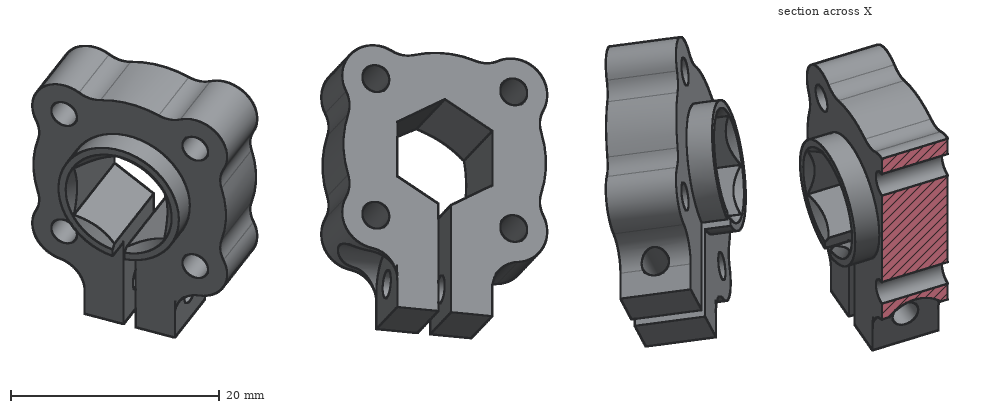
import cadquery as cq
import math

plate_thickness = 6.985
boss_length = 2.54
boss_radius = 6.35

plate_width = 20.57
bolt_circle_radius = 9.779
bolt_offset = bolt_circle_radius / math.sqrt(2)
lobe_angle = 45
lower_left_lobe_angle = 180 + lobe_angle
lobe_radius = plate_width / 2 - bolt_offset
side_radius = 10.16
blend_radius = 2.95
hole_diameter = 2.705

hex_across_flats = 9.525
hex_across_corners = hex_across_flats / math.cos(math.radians(30))
lead_in_radius = 5.59
lead_in_half_angle = 45.0

clamp_half_width = hex_across_flats / 2
clamp_bottom = -16.0
slot_width = 1.27
screw_z = -12.57
head_seat_edge_wall = 0.01
head_seat_radius = plate_thickness / 2 - head_seat_edge_wall


def polar(radius, degrees):
    angle = math.radians(degrees)
    return radius * math.cos(angle), radius * math.sin(angle)


def toward(start, end, distance):
    """Point at a given distance from start on the line to end."""
    length = math.dist(start, end)
    return tuple(a + (b - a) * distance / length for a, b in zip(start, end))


def midpoint(start, end):
    return tuple((a + b) / 2 for a, b in zip(start, end))


def mirrored(point):
    return -point[0], point[1]


def plate_outline():
    """Closed outline: four lobes, three bulged sides and a clamp tail, all joined by tangent arcs."""
    side_reach = side_radius + blend_radius
    lobe_reach = lobe_radius + blend_radius
    lobe_tip_reach = bolt_circle_radius + lobe_radius
    blend_angle = math.degrees(math.acos(
        (side_reach**2 + bolt_circle_radius**2 - lobe_reach**2) / (2 * side_reach * bolt_circle_radius)
    ))

    tail_x = clamp_half_width + blend_radius
    tail_drop = math.sqrt(lobe_reach**2 - (tail_x - bolt_offset)**2)
    tail_center = (tail_x, -bolt_offset - tail_drop)
    tail_lobe_end = toward((bolt_offset, -bolt_offset), tail_center, lobe_radius)
    tail_end = (clamp_half_width, tail_center[1])
    tail_middle = toward(tail_center, midpoint(tail_lobe_end, tail_end), blend_radius)

    outline = (
        cq.Workplane("XZ")
        .moveTo(clamp_half_width, clamp_bottom)
        .lineTo(*tail_end)
        .threePointArc(tail_middle, tail_lobe_end)
    )
    for side_angle in (0, 90, 180):
        first_lobe_angle = side_angle - lobe_angle
        next_lobe_angle = side_angle + lobe_angle
        first_center = polar(side_reach, first_lobe_angle + blend_angle)
        next_center = polar(side_reach, next_lobe_angle - blend_angle)
        first_lobe_end = toward(polar(bolt_circle_radius, first_lobe_angle), first_center, lobe_radius)
        next_lobe_start = toward(polar(bolt_circle_radius, next_lobe_angle), next_center, lobe_radius)
        side_start = polar(side_radius, first_lobe_angle + blend_angle)
        side_end = polar(side_radius, next_lobe_angle - blend_angle)
        first_middle = toward(first_center, midpoint(first_lobe_end, side_start), blend_radius)
        next_middle = toward(next_center, midpoint(side_end, next_lobe_start), blend_radius)
        outline = (
            outline
            .threePointArc(polar(lobe_tip_reach, first_lobe_angle), first_lobe_end)
            .threePointArc(first_middle, side_start)
            .threePointArc(polar(side_radius, side_angle), side_end)
            .threePointArc(next_middle, next_lobe_start)
        )
    return (
        outline
        .threePointArc(polar(lobe_tip_reach, lower_left_lobe_angle), mirrored(tail_lobe_end))
        .threePointArc(mirrored(tail_middle), mirrored(tail_end))
        .lineTo(-clamp_half_width, clamp_bottom)
        .close()
    )


def make_body():
    plate = plate_outline().extrude(-plate_thickness)
    boss = cq.Workplane("XZ").circle(boss_radius).extrude(boss_length)
    return plate.union(boss)


def bolt_holes():
    return (
        cq.Workplane("XZ")
        .rect(2 * bolt_offset, 2 * bolt_offset, forConstruction=True)
        .vertices()
        .circle(hole_diameter / 2)
        .extrude(-plate_thickness)
    )


def hex_bore():
    """Hexagon with corners at top and bottom, through the plate and boss."""
    return (
        cq.Workplane("XZ", origin=(0, -boss_length, 0))
        .transformed(rotate=(0, 0, 90))
        .polygon(6, hex_across_corners)
        .extrude(-(plate_thickness + boss_length))
    )


def lead_in():
    """Cone that opens the bore at the boss face."""
    depth = lead_in_radius / math.tan(math.radians(lead_in_half_angle))
    cone = cq.Solid.makeCone(
        lead_in_radius, 0, depth, cq.Vector(0, -boss_length, 0), cq.Vector(0, 1, 0)
    )
    return cq.Workplane(obj=cone)


def clamp_slot():
    """Slit from the bore down through the tail."""
    return cq.Workplane("XY").box(
        slot_width, 2 * (plate_thickness + boss_length), -clamp_bottom, centered=(True, True, False)
    ).translate((0, 0, clamp_bottom))


def clamp_screw_hole():
    return (
        cq.Workplane("YZ", origin=(0, plate_thickness / 2, screw_z))
        .circle(hole_diameter / 2)
        .extrude(plate_width / 2, both=True)
    )


def screw_head_seat():
    """Round flat-bottomed cut into the +X tail blend, level with the side of the tail."""
    return (
        cq.Workplane("YZ", origin=(clamp_half_width, plate_thickness / 2, screw_z))
        .circle(head_seat_radius)
        .extrude(plate_width / 2)
    )


result = make_body()
for cutter in (bolt_holes(), hex_bore(), lead_in(), clamp_slot(), clamp_screw_hole(), screw_head_seat()):
    result = result.cut(cutter)